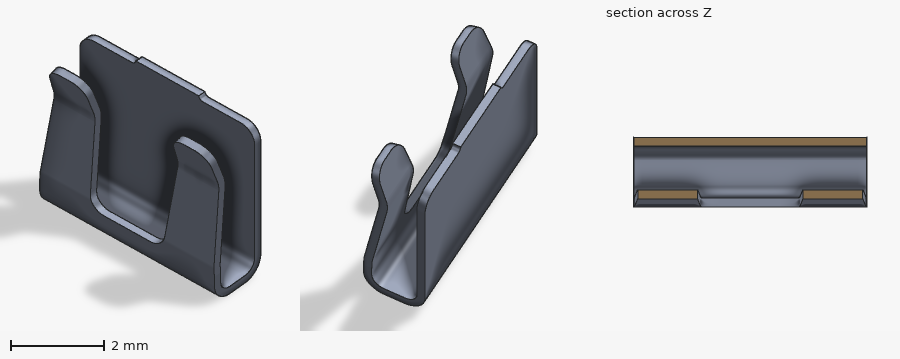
import cadquery as cq
import math

width = 5.0
depth = 1.5
height = 4.1
thickness = 0.2

base_bend_radius = 0.5
lean_start_height = 0.955
lean_angle = 9.0
lean_bend_radius = 0.4
arm_length = 1.875
flare_angle = 18.5
flare_bend_radius = 0.5
tip_length = 0.865

tab_width = 1.8
tab_height = 0.1
notch_radius = 0.12
plate_corner_radius = 0.4

slot_bottom_height = 0.75
slot_bottom_width = 2.085
slot_corner_radius = 0.4
arm_taper = 3.75
tip_corner_radius = 0.4

split_y = depth / 2 - 2 * thickness


def flat(length):
    """Straight stretch of sheet as (length, bend angle, bend radius)."""
    return (length, 0, 0)


def bend(angle, radius):
    """Bent stretch of sheet as (length, bend angle, bend radius)."""
    return (0, angle, radius)


def folded_strip():
    """Sheet of full width, drawn as its outer skin and then back along its inner skin."""
    steps = [
        flat(height - base_bend_radius),
        bend(90, base_bend_radius),
        flat(depth - 2 * base_bend_radius),
        bend(90, base_bend_radius),
        flat(lean_start_height - base_bend_radius),
        bend(lean_angle, lean_bend_radius),
        flat(arm_length),
        bend(-(lean_angle + flare_angle), flare_bend_radius),
        flat(tip_length),
    ]

    def inward(turned):
        """Unit normal from outer to inner skin after turning by this many degrees."""
        angle = math.radians(turned)
        return cq.Vector(-math.cos(angle), math.sin(angle))

    def forward(turned):
        """Unit direction of travel along the sheet."""
        return inward(turned - 90)

    turned = 0
    point = cq.Vector(depth / 2, height)
    profile = cq.Workplane("YZ", origin=(-width / 2, 0, 0)).moveTo(point.x, point.y)
    inner = point + inward(turned) * thickness
    inner_return = []
    for length, angle, radius in steps:
        previous_inner = inner
        if angle == 0:
            point = point + forward(turned) * length
            profile = profile.lineTo(point.x, point.y)
            inner_middle = None
        else:
            to_center = math.copysign(radius, angle)
            center = point + inward(turned) * to_center
            half_way = turned + angle / 2
            turned += angle
            middle = center - inward(half_way) * to_center
            point = center - inward(turned) * to_center
            profile = profile.threePointArc((middle.x, middle.y), (point.x, point.y))
            inner_middle = middle + inward(half_way) * thickness
        inner = point + inward(turned) * thickness
        inner_return.append((inner_middle, previous_inner))

    profile = profile.lineTo(inner.x, inner.y)
    for middle, end in reversed(inner_return):
        if middle is None:
            profile = profile.lineTo(end.x, end.y)
        else:
            profile = profile.threePointArc((middle.x, middle.y), (end.x, end.y))
    return profile.close().extrude(width)


def plate_shoulder(side):
    """Waste beside the tab, with a rounded notch at the tab and a rounded outer corner."""
    edge = width / 2
    shoulder = height - tab_height
    corner = plate_corner_radius
    corner_sag = corner * (1 - math.sqrt(0.5))
    tab_edge = tab_width / 2
    notch_sweep = math.acos(1 - tab_height / notch_radius)
    notch_end = tab_edge + notch_radius * math.sin(notch_sweep)
    notch_middle_x = notch_end - notch_radius * math.sin(notch_sweep / 2)
    notch_middle_z = shoulder + notch_radius * (1 - math.cos(notch_sweep / 2))
    waste = (
        cq.Workplane("XZ", origin=(0, depth / 2, 0))
        .moveTo(side * tab_edge, height)
        .threePointArc(
            (side * notch_middle_x, notch_middle_z),
            (side * notch_end, shoulder),
        )
        .lineTo(side * (edge - corner), shoulder)
        .threePointArc(
            (side * (edge - corner_sag), shoulder - corner_sag),
            (side * edge, shoulder - corner),
        )
        .lineTo(side * edge, height)
        .close()
    )
    return waste.extrude(depth / 2 - split_y)


def taper_run(low, high):
    """Sideways shift of an arm edge between two heights."""
    return (high - low) * math.tan(math.radians(arm_taper))


def through_arms(points):
    """Prism from an XZ outline, spanning the arm side of the clip."""
    outline = cq.Workplane("XZ", origin=(0, split_y, 0)).polyline(points).close()
    return outline.extrude(split_y + depth / 2)


def arm_slot():
    """Opening between the arms, wider at the top, with rounded bottom corners."""
    low = slot_bottom_width / 2
    high = low + taper_run(slot_bottom_height, height)
    slot = through_arms([
        (-low, slot_bottom_height),
        (low, slot_bottom_height),
        (high, height),
        (-high, height),
    ])
    return slot.faces("<Z").edges("|Y").fillet(slot_corner_radius)


def outer_taper(side):
    """Wedge taken off the outer edge of an arm."""
    edge = width / 2
    top = edge - taper_run(slot_bottom_height, height)
    return through_arms([
        (side * edge, slot_bottom_height),
        (side * edge, height),
        (side * top, height),
    ])


def round_tips(clip):
    """Round the two corners at the end of each arm, across the sheet."""
    tip = math.radians(flare_angle)
    tip_end_normal = cq.Vector(0, -math.sin(tip), math.cos(tip))
    corners = clip.faces(cq.selectors.ParallelDirSelector(tip_end_normal)).edges("not |X")
    return corners.fillet(tip_corner_radius)


clip = folded_strip().cut(arm_slot())
for side in (-1, 1):
    clip = clip.cut(plate_shoulder(side)).cut(outer_taper(side))
result = round_tips(clip)